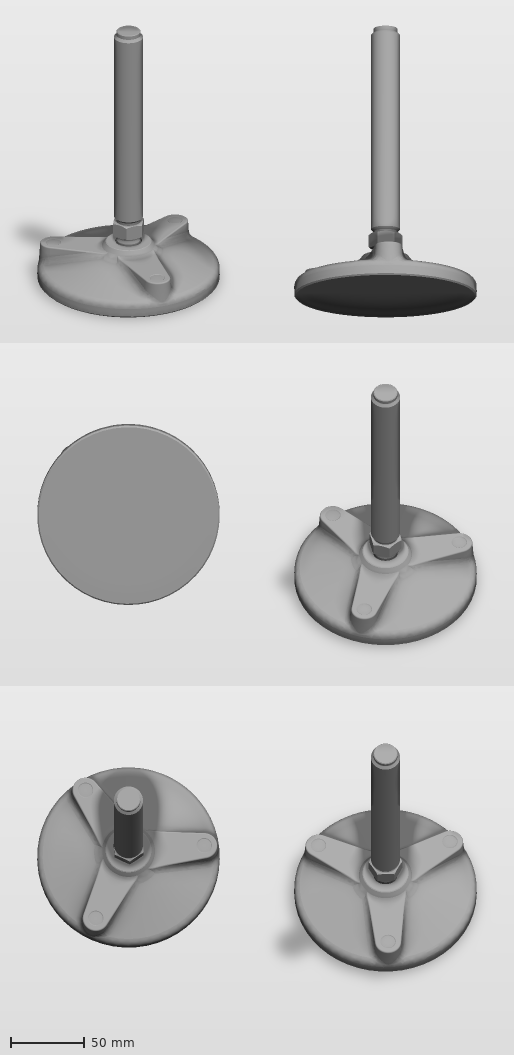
import cadquery as cq
import math

total_height = 188.69
plate_diameter = 125.0

plate_bottom_chamfer = 1.0
rim_crease_height = 3.6
rim_taper = 0.05
rim_height = 6.8
rim_radius = 5.0
cone_angle = 15.0

hub_top_radius = 15.5
hub_top_height = 28.4
hub_flank_angle = 53.0
hub_foot_radius = 12.5
hub_outer_radius = 28.0
hub_edge_chamfer = 0.4
hub_overlap = 0.05
hub_bore_diameter = 18.32
hub_bore_depth = 2.0

arm_count = 3
first_arm_angle = 90.0
arm_top_height = 23.9
arm_raw_height = 40.0
arm_base_height = 5.0
arm_side_angle = 6.5
arm_draft = 4.0
arm_edge_radius = 1.0
arm_foot_radius = 4.5
arm_hub_radius = 5.5
arm_hub_overlap = 0.4
boss_distance = 52.0
boss_radius = 8.9
recess_diameter = 10.6
recess_floor_diameter = 9.6
recess_depth = 0.3

collar_diameter = 16.5
collar_length = 1.0
lower_neck_diameter = 14.3
lower_neck_height = 31.4
hex_bottom_height = 33.7
hex_sides = 6
hex_height = 10.0
hex_across_flats = 20.0
hex_chamfer_angle = 30.0
neck_diameter = 16.5
upper_neck_length = 1.7
thread_diameter = 20.0
tip_length = 3.0
tip_edge_chamfer = 0.5

pick_tolerance = 0.01

plate_radius = plate_diameter / 2
rim_top_radius = plate_radius - rim_taper
cone_slope = math.tan(math.radians(cone_angle))
flank_slope = math.tan(math.radians(hub_flank_angle))
rim_tangent_radius = rim_top_radius - rim_radius * (1 - math.sin(math.radians(cone_angle)))
rim_tangent_height = rim_height + rim_radius * math.cos(math.radians(cone_angle))
cone_apex_height = rim_tangent_height + rim_tangent_radius * cone_slope
flank_apex_height = hub_top_height + hub_top_radius * flank_slope


def cone_height(radius):
    return cone_apex_height - radius * cone_slope


def revolve(profile):
    """Turn a closed (radius, height) outline around the Z axis."""
    return cq.Workplane("XZ").polyline(profile).close().revolve(360, (0, 0, 0), (0, 1, 0))


def circle_at(body, radius, height):
    """Circular edge of the given radius and height around the Z axis."""
    reach = radius + pick_tolerance
    box = cq.selectors.BoxSelector(
        (-reach, -reach, height - pick_tolerance),
        (reach, reach, height + pick_tolerance),
        boundingbox=True,
    )
    return body.edges("%CIRCLE").edges(box).edges(cq.selectors.RadiusNthSelector(-1))


def around_axis(body):
    """Copies of a body along +X, one at each arm."""
    for index in range(arm_count):
        angle = first_arm_angle + index * 360 / arm_count
        yield body.rotate((0, 0, 0), (0, 0, 1), angle)


def make_plate():
    """Cone-topped disc with a rounded rim that is widest at its crease."""
    corner_height = cone_height(rim_top_radius)
    plate = revolve([
        (0, 0),
        (rim_top_radius - plate_bottom_chamfer, 0),
        (rim_top_radius, plate_bottom_chamfer),
        (plate_radius, rim_crease_height),
        (rim_top_radius, corner_height),
        (0, cone_apex_height),
    ])
    return circle_at(plate, rim_top_radius, corner_height).fillet(rim_radius)


def make_hub():
    """Centre hub that flares out into the cone, its outer edge sunk just below the cone."""
    foot = (flank_apex_height - cone_apex_height + hub_overlap) / (flank_slope - cone_slope)
    foot_height = cone_height(foot) - hub_overlap
    hub = revolve([
        (0, 0),
        (hub_outer_radius, 0),
        (hub_outer_radius, cone_height(hub_outer_radius) - hub_overlap),
        (foot, foot_height),
        (hub_top_radius, hub_top_height),
        (0, hub_top_height),
    ])
    hub = circle_at(hub, foot, foot_height).fillet(hub_foot_radius)
    return circle_at(hub, hub_top_radius, hub_top_height).chamfer(hub_edge_chamfer)


def make_hub_bore():
    """Cutter for the bore in the hub that leaves a narrow gap around the collar."""
    bore = cq.Workplane("XY", origin=(0, 0, hub_top_height)).circle(hub_bore_diameter / 2)
    return bore.extrude(-hub_bore_depth)


def make_raw_arm():
    """Arm along +X with drafted sides, taller than it ends up."""
    lean = math.radians(arm_side_angle)
    excess_height = arm_raw_height - arm_top_height
    end_radius = boss_radius - excess_height * math.tan(math.radians(arm_draft))
    tangent_x = boss_distance + end_radius * math.sin(lean)
    tangent_y = end_radius * math.cos(lean)
    root_y = tangent_y + tangent_x * math.tan(lean)
    return (
        cq.Workplane("XY", origin=(0, 0, arm_raw_height))
        .moveTo(0, -root_y)
        .lineTo(tangent_x, -tangent_y)
        .threePointArc((boss_distance + end_radius, 0), (tangent_x, tangent_y))
        .lineTo(0, root_y)
        .close()
        .extrude(-(arm_raw_height - arm_base_height), taper=-arm_draft)
    )


def flat_start_radius():
    """Radius at which the level of the arm tops meets the hub flank."""
    return (flank_apex_height - arm_top_height) / flank_slope


def make_arm_envelope():
    """Space below the arm tops: flat outside, sweeping up into the hub inside."""
    envelope = revolve([
        (0, 0),
        (plate_diameter, 0),
        (plate_diameter, arm_top_height),
        (flat_start_radius(), arm_top_height),
        (hub_top_radius - arm_hub_overlap, hub_top_height - hub_edge_chamfer),
        (0, hub_top_height - hub_edge_chamfer),
    ])
    return circle_at(envelope, flat_start_radius(), arm_top_height).fillet(arm_hub_radius)


def is_foot_edge(edge):
    """Sloping edges below the arm tops: the feet of the arm walls and the smooth rim seam."""
    box = edge.BoundingBox()
    in_height = box.zmin > rim_crease_height + pick_tolerance and box.zmax < arm_top_height
    return in_height and box.zlen > arm_edge_radius


def is_top_edge(edge):
    """Side and end edges of the flat arm tops, without the arcs next to the hub."""
    box = edge.BoundingBox()
    is_flat = max(abs(box.zmin - arm_top_height), abs(box.zmax - arm_top_height)) < pick_tolerance
    centre = edge.Center()
    is_hub_arc = edge.geomType() == "CIRCLE" and math.hypot(centre.x, centre.y) < boss_distance / 2
    return is_flat and not is_hub_arc


def make_recess():
    """Shallow tapered cutter for the top of the boss."""
    return (
        cq.Workplane("XY", origin=(boss_distance, 0, arm_top_height))
        .circle(recess_diameter / 2)
        .workplane(offset=-recess_depth)
        .circle(recess_floor_diameter / 2)
        .loft()
    )


def make_foot():
    """Plate with blended arms and the hub."""
    foot = make_plate()
    for arm in around_axis(make_raw_arm()):
        foot = foot.union(arm)
    foot_edges = [edge for edge in foot.edges().vals() if is_foot_edge(edge)]
    foot = foot.newObject(foot_edges).fillet(arm_foot_radius)
    foot = foot.intersect(make_arm_envelope())
    top_edges = [edge for edge in foot.edges().vals() if is_top_edge(edge)]
    foot = foot.newObject(top_edges).fillet(arm_edge_radius)
    for recess in around_axis(make_recess()):
        foot = foot.cut(recess)
    return foot.union(make_hub()).cut(make_hub_bore())


def make_stem():
    """Collar, lower neck, upper neck and threaded rod as one turned body."""
    hex_top = hex_bottom_height + hex_height
    shoulder = (thread_diameter - neck_diameter) / 2
    thread_bottom = hex_top + upper_neck_length + shoulder
    tip_bottom = total_height - tip_length
    return revolve([
        (0, 0),
        (collar_diameter / 2, 0),
        (collar_diameter / 2, hub_top_height + collar_length),
        (lower_neck_diameter / 2, lower_neck_height),
        (lower_neck_diameter / 2, hex_bottom_height),
        (neck_diameter / 2, hex_bottom_height),
        (neck_diameter / 2, hex_top + upper_neck_length),
        (thread_diameter / 2, thread_bottom),
        (thread_diameter / 2, tip_bottom - shoulder),
        (neck_diameter / 2, tip_bottom),
        (neck_diameter / 2, total_height - tip_edge_chamfer),
        (neck_diameter / 2 - tip_edge_chamfer, total_height),
        (0, total_height),
    ])


def make_hex():
    """Hexagon with flats facing +Y and -Y and turned-off corners."""
    flat_radius = hex_across_flats / 2
    corner_radius = flat_radius / math.cos(math.pi / hex_sides)
    chamfer_height = (corner_radius - flat_radius) * math.tan(math.radians(hex_chamfer_angle))
    prism = cq.Workplane("XY").polygon(hex_sides, 2 * corner_radius).extrude(hex_height)
    turned = revolve([
        (0, 0),
        (flat_radius, 0),
        (corner_radius, chamfer_height),
        (corner_radius, hex_height - chamfer_height),
        (flat_radius, hex_height),
        (0, hex_height),
    ])
    return prism.intersect(turned).translate((0, 0, hex_bottom_height))


result = make_foot().union(make_stem()).union(make_hex())